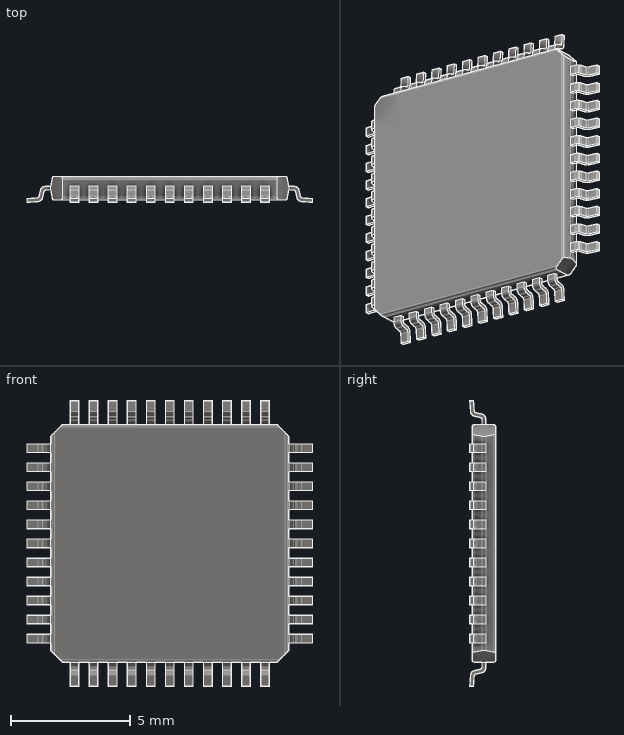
import cadquery as cq
import math

BODY_SIDE = 10.0
BODY_THICKNESS = 1.0
BODY_STANDOFF = 0.1
CORNER_CHAMFER = 0.5
EDGE_FILLET = 0.09
SIDE_DRAFT = 10.5
Z_SIDE_BAND = 0.72

SPAN = 12.0
LEADS_PER_SIDE = 11
LEAD_PITCH = 0.8
LEAD_WIDTH = 0.37
LEAD_THICKNESS = 0.165
ANKLE_INSET = 0.56
INNER_BEND_RADIUS = 0.1
OUTER_BEND_RADIUS = 0.22
RISER_SLOPE = 77.5
FOOT_SLOPE = 4.0
LEAD_EMBED = 0.3

HALF_SIDE = BODY_SIDE / 2
FACE_Y_LOW = BODY_STANDOFF
FACE_Y_HIGH = BODY_STANDOFF + BODY_THICKNESS
BODY_MID_Y = (FACE_Y_LOW + FACE_Y_HIGH) / 2
SHOULDER_LOW = BODY_MID_Y - LEAD_THICKNESS / 2
SHOULDER_HIGH = BODY_MID_Y + LEAD_THICKNESS / 2


def drafted_profile(band):
    """Outline across the body with an upright band at mid-height and drafted sides beyond it."""
    lean = (BODY_THICKNESS - band) / 2 * math.tan(math.radians(SIDE_DRAFT))
    half_face = HALF_SIDE - lean
    band_low = BODY_MID_Y - band / 2
    band_high = BODY_MID_Y + band / 2
    return [
        (-half_face, FACE_Y_LOW),
        (half_face, FACE_Y_LOW),
        (HALF_SIDE, band_low),
        (HALF_SIDE, band_high),
        (half_face, FACE_Y_HIGH),
        (-half_face, FACE_Y_HIGH),
        (-HALF_SIDE, band_high),
        (-HALF_SIDE, band_low),
    ]


def drafted_prism(band):
    """Prism along Z whose X sides are drafted."""
    outline = cq.Workplane("XY").polyline(drafted_profile(band)).close()
    return outline.extrude(HALF_SIDE, both=True)


def make_body():
    """Body with drafted sides, rounded face edges and cut corners."""
    x_sides = drafted_prism(LEAD_THICKNESS)
    z_sides = drafted_prism(Z_SIDE_BAND).rotate((0, 0, 0), (0, 1, 0), 90)
    rounded = x_sides.intersect(z_sides).faces("<Y or >Y").edges().fillet(EDGE_FILLET)
    corner_cutter = (
        cq.Workplane("XZ")
        .rect(BODY_SIDE, BODY_SIDE)
        .extrude(-FACE_Y_HIGH)
        .edges("|Y")
        .chamfer(CORNER_CHAMFER)
    )
    return rounded.intersect(corner_cutter)


def make_lead():
    """One lead on the +X side, centred on Z = 0: shoulder, riser and foot joined by bends."""
    half_thickness = LEAD_THICKNESS / 2
    riser = math.radians(RISER_SLOPE)
    foot = math.radians(FOOT_SLOPE)
    root_x = HALF_SIDE - LEAD_EMBED
    tip_x = SPAN / 2
    tip_height = LEAD_THICKNESS / math.cos(foot)

    ankle_x = tip_x - ANKLE_INSET
    ankle_y = tip_height / 2 + ANKLE_INSET * math.tan(foot)
    knee_x = ankle_x - (BODY_MID_Y - ankle_y) / math.tan(riser)

    knee_shift = half_thickness * math.tan(riser / 2)
    ankle_reach = half_thickness / math.cos((riser - foot) / 2)
    ankle_normal = (riser + foot) / 2
    ankle_shift_x = ankle_reach * math.sin(ankle_normal)
    ankle_shift_y = ankle_reach * math.cos(ankle_normal)

    outer_knee = (knee_x + knee_shift, SHOULDER_HIGH)
    inner_knee = (knee_x - knee_shift, SHOULDER_LOW)
    inner_ankle = (ankle_x + ankle_shift_x, ankle_y + ankle_shift_y)
    outer_ankle = (ankle_x - ankle_shift_x, ankle_y - ankle_shift_y)
    outline = [
        (root_x, SHOULDER_HIGH),
        outer_knee,
        inner_ankle,
        (tip_x, tip_height),
        (tip_x, 0),
        outer_ankle,
        inner_knee,
        (root_x, SHOULDER_LOW),
    ]
    lead = cq.Workplane("XY").polyline(outline).close().extrude(LEAD_WIDTH / 2, both=True)
    lead = round_edges(lead, [inner_knee, inner_ankle], INNER_BEND_RADIUS)
    return round_edges(lead, [outer_knee, outer_ankle], OUTER_BEND_RADIUS)


def round_edges(lead, corners, radius):
    """Fillet the edges that run across the lead's width at the given outline corners."""
    for corner in corners:
        edge = cq.selectors.NearestToPointSelector((*corner, 0))
        lead = lead.edges("|Z").edges(edge).fillet(radius)
    return lead


def place_leads(lead):
    """Copies of the lead in a row along each of the four sides."""
    leads = []
    for angle in (0, 90, 180, 270):
        for index in range(LEADS_PER_SIDE):
            offset = (index - (LEADS_PER_SIDE - 1) / 2) * LEAD_PITCH
            placed = lead.translate((0, 0, offset)).rotate((0, 0, 0), (0, 1, 0), angle)
            leads.append(placed.val())
    return leads


body = make_body()
result = cq.Workplane(body.val().fuse(*place_leads(make_lead())))